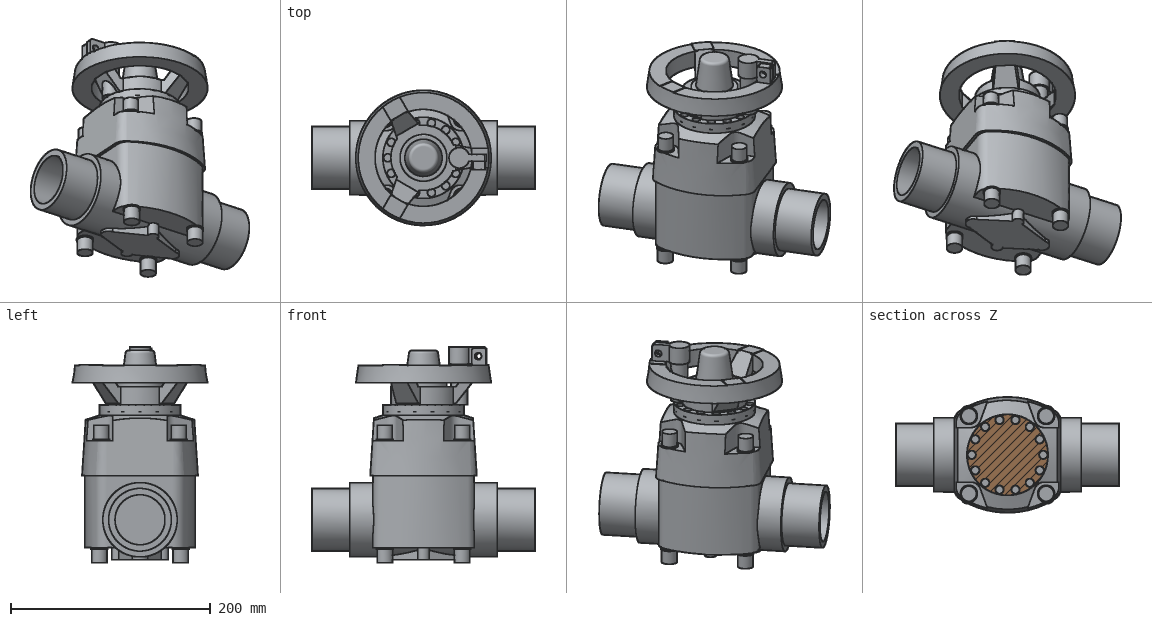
import cadquery as cq
import math


length = 224.0
pipe_radius = 63.0 / 2
bore_radius = 25.0
collar_radius = 74.5 / 2
collar_half_length = 74.1

body_half_x = 50.8
body_half_y = 55.5
barrel_half_width = 45.0
barrel_end_y = 43.5
flat_half_width = 32.5
body_bottom = -28.0
body_top = 44.4

bonnet_overhang = 2.7
bonnet_barrel_half_width = 47.7
bonnet_barrel_end_y = 44.1
bonnet_flat_half_width = 33.4
bonnet_draft = 3.7
roof_slope = 18.0
ring_radius = 40.8
ring_bottom = 104.8
ring_top = 115.1

pocket_floor = 79.3
pocket_side_y = 27.3
pocket_arc_center_x = 36.7
pocket_arc_radius = 10.0
pocket_wall_angle = 20.0

bolt_x = 38.8
top_bolt_y = 39.0
bottom_bolt_y = 40.8
head_radius = 7.6
nut_radius = 7.8
washer_radius = 8.5
washer_height = 1.3
bolt_height = 15.2

foot_bottom = -40.3
foot_half_y = 24.0
foot_end_radius = 7.6
foot_side_radius = 5.8
foot_side_y = 22.6

lock_hole_count = 14
lock_hole_radius = 4.0
lock_hole_depth = 6.7
lock_circle_radius = 35.8

hub_radius = 32.7
hub_top = 133.5
rim_diameter = 136.0
rim_radius = rim_diameter / 2
rim_top_radius = 65.5
rim_inner_radius = 48.5
rim_bottom = 137.0
rim_top = 154.8
spoke_count = 3
spoke_bottom = 116.7
spoke_hub_half_width = 12.8
spoke_rim_half_width = 9.6
spoke_foot_radius = 32.5
strip_half_width = 9.9
strip_height = 0.7

cover_flange_radius = 23.5
cover_flange_top = 138.9
cover_flange_fillet = 1.5
cover_base_radius = 19.5
cover_top_radius = 14.3
cover_top = 169.8
cover_fillet = 3.4

pin_radius = 8.5
pin_head_radius = 10.3
pin_head_bottom = 156.0
pin_top = 173.4
plate_end_x = 63.2
plate_half_thickness = 3.4
plate_chamfer = 2.0
lug_start_x = 48.5
lug_end_x = 62.5
lug_side_y = -11.9
lug_top = 172.0
lug_chamfer = 1.3
padlock_hole_radius = 3.4
lug_hole_x = 54.7
plate_hole_x = 56.7
padlock_hole_z = 164.0


def cylinder(radius, bottom, top, x=0.0, y=0.0):
    return cq.Workplane("XY", origin=(x, y, bottom)).circle(radius).extrude(top - bottom)


def box(x_range, y_range, z_range):
    size = [b - a for a, b in (x_range, y_range, z_range)]
    corner = (x_range[0], y_range[0], z_range[0])
    return cq.Workplane("XY").box(*size, centered=False).translate(corner)


def on_four_corners(shape):
    """The shape from the +X +Y quadrant together with its three mirror images."""
    pair = shape.union(shape.mirror("YZ"))
    return pair.union(pair.mirror("XZ"))


def barrel_outline(height, half_x, half_y, flat_y, edge_x, edge_y):
    """Flat sides in X, tangent round corners, and large barrel arcs in Y."""
    return (
        cq.Workplane("XY", origin=(0, 0, height))
        .moveTo(half_x, -flat_y)
        .lineTo(half_x, flat_y)
        .tangentArcPoint((edge_x, edge_y), relative=False)
        .threePointArc((0, half_y), (-edge_x, edge_y))
        .tangentArcPoint((-half_x, flat_y), relative=False)
        .lineTo(-half_x, -flat_y)
        .tangentArcPoint((-edge_x, -edge_y), relative=False)
        .threePointArc((0, -half_y), (edge_x, -edge_y))
        .tangentArcPoint((half_x, -flat_y), relative=False)
        .close()
    )


def body():
    outline = barrel_outline(
        body_bottom,
        body_half_x,
        body_half_y,
        flat_half_width,
        barrel_half_width,
        barrel_end_y,
    )
    return outline.extrude(body_top - body_bottom)


def pipe():
    collar = cq.Workplane("YZ").circle(collar_radius).extrude(collar_half_length, both=True)
    tube = cq.Workplane("YZ").circle(pipe_radius).extrude(length / 2, both=True)
    return tube.union(collar)


def bores():
    """A blind bore from each pipe end to the side of the body."""
    depth = length / 2 - body_half_x
    bore = cq.Workplane("YZ", origin=(body_half_x, 0, 0)).circle(bore_radius).extrude(depth)
    return bore.union(bore.mirror("YZ"))


def corner_pocket():
    """Open pocket with one side along X, a round inner corner and one side running off in Y."""
    angle = math.radians(pocket_wall_angle)
    center_y = pocket_side_y + pocket_arc_radius
    wall_x = pocket_arc_center_x - pocket_arc_radius * math.cos(angle)
    wall_y = center_y - pocket_arc_radius * math.sin(angle)
    reach = 2 * body_half_y
    return (
        cq.Workplane("XY", origin=(0, 0, pocket_floor))
        .moveTo(reach, pocket_side_y)
        .lineTo(pocket_arc_center_x, pocket_side_y)
        .tangentArcPoint((wall_x, wall_y), relative=False)
        .lineTo(wall_x - (reach - wall_y) * math.tan(angle), reach)
        .lineTo(reach, reach)
        .close()
        .extrude(ring_bottom - pocket_floor)
    )


def bonnet():
    reach = 2 * body_half_y
    roof_drop = (reach - ring_radius) * math.tan(math.radians(roof_slope))
    under_roof = (
        cq.Workplane("XZ")
        .moveTo(0, 0)
        .lineTo(0, ring_bottom)
        .lineTo(ring_radius, ring_bottom)
        .lineTo(reach, ring_bottom - roof_drop)
        .lineTo(reach, 0)
        .close()
        .revolve(360, (0, 0), (0, 1))
    )
    outline = barrel_outline(
        body_top,
        body_half_x + bonnet_overhang,
        body_half_y + bonnet_overhang,
        bonnet_flat_half_width,
        bonnet_barrel_half_width,
        bonnet_barrel_end_y,
    )
    block = outline.extrude(ring_bottom - body_top, taper=bonnet_draft).intersect(under_roof)
    return block.cut(on_four_corners(corner_pocket()))


def bolts():
    """Bolt heads in the bonnet pockets and nuts under the body, each on a washer."""
    top_end = pocket_floor + bolt_height
    bottom_end = body_bottom - bolt_height
    head = cylinder(head_radius, pocket_floor, top_end, bolt_x, top_bolt_y)
    head_washer = cylinder(
        washer_radius, pocket_floor, pocket_floor + washer_height, bolt_x, top_bolt_y
    )
    nut = cylinder(nut_radius, bottom_end, body_bottom, bolt_x, bottom_bolt_y)
    nut_washer = cylinder(
        washer_radius, body_bottom - washer_height, body_bottom, bolt_x, bottom_bolt_y
    )
    return on_four_corners(head.union(head_washer).union(nut).union(nut_washer))


def foot():
    """Lozenge under the body with a round post at each of its four tips."""
    lozenge = (
        cq.Workplane("XY", origin=(0, 0, foot_bottom))
        .polyline([
            (bolt_x, -foot_end_radius),
            (bolt_x, foot_end_radius),
            (0, foot_half_y),
            (-bolt_x, foot_end_radius),
            (-bolt_x, -foot_end_radius),
            (0, -foot_half_y),
        ])
        .close()
        .extrude(body_bottom - foot_bottom)
    )
    for side in (-1, 1):
        lozenge = lozenge.union(cylinder(foot_end_radius, foot_bottom, body_bottom, side * bolt_x))
        lozenge = lozenge.union(
            cylinder(foot_side_radius, foot_bottom, body_bottom, y=side * foot_side_y)
        )
    return lozenge


def lock_ring():
    ring = cylinder(ring_radius, ring_bottom, ring_top)
    holes = (
        cq.Workplane("XY", origin=(0, 0, ring_top))
        .polarArray(lock_circle_radius, 0, 360, lock_hole_count)
        .circle(lock_hole_radius)
        .extrude(-lock_hole_depth)
    )
    return ring.cut(holes)


def spoke():
    """Rising arm along +X, narrower towards the rim, ending in a strip across the rim top."""
    strip_top = rim_top + strip_height
    side = (
        cq.Workplane("XZ")
        .polyline([
            (0, spoke_bottom),
            (spoke_foot_radius, spoke_bottom),
            (rim_inner_radius, rim_bottom),
            (rim_inner_radius, strip_top),
            (spoke_foot_radius, hub_top),
            (0, hub_top),
        ])
        .close()
        .extrude(hub_radius, both=True)
    )
    narrowing = (spoke_hub_half_width - spoke_rim_half_width) / (rim_inner_radius - spoke_foot_radius)
    center_half_width = spoke_hub_half_width + narrowing * spoke_foot_radius
    plan = (
        cq.Workplane("XY", origin=(0, 0, spoke_bottom))
        .polyline([
            (0, -center_half_width),
            (rim_inner_radius, -spoke_rim_half_width),
            (rim_inner_radius, spoke_rim_half_width),
            (0, center_half_width),
        ])
        .close()
        .extrude(strip_top - spoke_bottom)
    )
    strip = box(
        (rim_inner_radius, rim_radius),
        (-strip_half_width, strip_half_width),
        (rim_bottom, strip_top),
    ).intersect(cylinder(rim_top_radius, rim_bottom, strip_top))
    return side.intersect(plan).union(strip)


def handwheel():
    rim = (
        cq.Workplane("XZ")
        .polyline([
            (rim_inner_radius, rim_bottom),
            (rim_radius, rim_bottom),
            (rim_top_radius, rim_top),
            (rim_inner_radius, rim_top),
        ])
        .close()
        .revolve(360, (0, 0), (0, 1))
    )
    wheel = rim.union(cylinder(hub_radius, ring_top, hub_top))
    arm = spoke()
    for index in range(spoke_count):
        wheel = wheel.union(arm.rotate((0, 0, 0), (0, 0, 1), index * 360 / spoke_count))
    return wheel


def stem_cover():
    flange = (
        cylinder(cover_flange_radius, hub_top, cover_flange_top)
        .faces(">Z").edges().fillet(cover_flange_fillet)
    )
    cap = (
        cq.Workplane("XZ")
        .polyline([
            (0, hub_top),
            (cover_base_radius, hub_top),
            (cover_top_radius, cover_top),
            (0, cover_top),
        ])
        .close()
        .revolve(360, (0, 0), (0, 1))
        .faces(">Z").edges().fillet(cover_fillet)
    )
    return flange.union(cap)


def padlock_hole(x):
    center = (x, 0, padlock_hole_z)
    return cq.Workplane("XZ", origin=center).circle(padlock_hole_radius).extrude(-2 * lug_side_y, both=True)


def padlock_pin():
    """Pin with a round head, a plate on the head and a wheel lug beside the plate."""
    pin = cylinder(pin_radius, ring_top, pin_top, lock_circle_radius)
    head = cylinder(pin_head_radius, pin_head_bottom, pin_top, lock_circle_radius)
    plate = box(
        (lock_circle_radius, plate_end_x),
        (-plate_half_thickness, plate_half_thickness),
        (pin_head_bottom, pin_top),
    ).edges(">X and >Z").chamfer(plate_chamfer)
    lug = box(
        (lug_start_x, lug_end_x),
        (lug_side_y, -plate_half_thickness),
        (rim_top, lug_top),
    ).faces(">Z").edges("|Y").chamfer(lug_chamfer)
    plate = plate.cut(padlock_hole(plate_hole_x))
    lug = lug.cut(padlock_hole(lug_hole_x))
    return pin.union(head).union(plate).union(lug)


result = (
    body()
    .union(pipe())
    .union(foot())
    .cut(bores())
    .union(bonnet())
    .union(bolts())
    .union(lock_ring())
    .union(handwheel())
    .union(stem_cover())
    .union(padlock_pin())
)